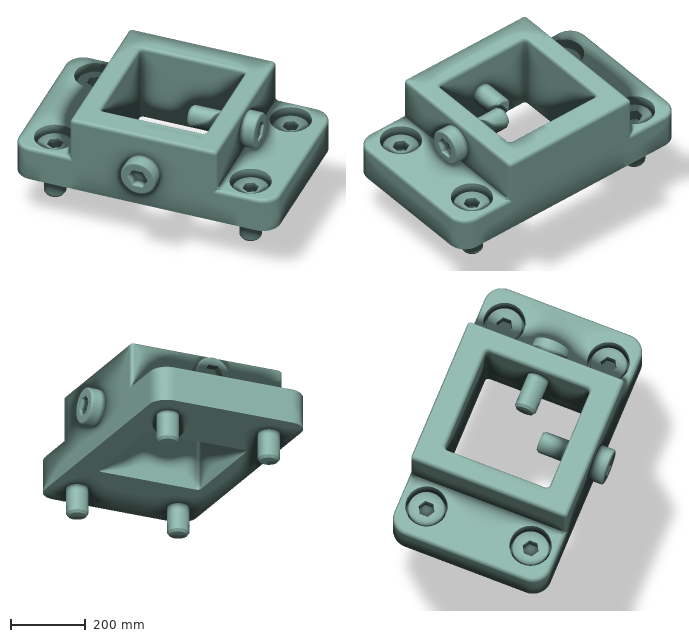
import cadquery as cq
import math

base_length = 750.0
base_width = 450.0
base_height = 100.0
base_corner_radius = 50.0
block_length = 420.0
housing_height = 225.0
window_side = 300.0
edge_radius = 10.0
corner_blend_reach = 15.0

shank_diameter = 60.0
head_diameter = 100.0
head_height = 40.0
head_edge_radius = 5.0
tip_chamfer_radial = 5.0
tip_chamfer_axial = 7.5

mount_socket_flats = 40.0
mount_socket_depth = 30.0
mount_spacing_x = 560.0
mount_spacing_y = 300.0
mount_projection = 80.0
counterbore_diameter = 113.0
head_sink = 20.0

clamp_socket_flats = 50.0
clamp_socket_depth = 25.0
clamp_length = 160.0
front_clamp_z = 112.5
side_clamp_z = 157.0

counterbore_depth = head_sink + head_height
seat_z = base_height - counterbore_depth
mount_length = seat_z + mount_projection


def cap_screw(shank_length, socket_flats, socket_depth, seat):
    """Socket head cap screw on a seat plane whose normal points out through the head."""
    shank_radius = shank_diameter / 2
    shank_outline = [
        (0, 0),
        (shank_radius, 0),
        (shank_radius, tip_chamfer_axial - shank_length),
        (shank_radius - tip_chamfer_radial, -shank_length),
        (0, -shank_length),
    ]
    shank = cq.Workplane("XZ").polyline(shank_outline).close().revolve(360, (0, 0), (0, 1))
    head = (
        cq.Workplane("XY")
        .circle(head_diameter / 2)
        .extrude(head_height)
        .faces(">Z")
        .edges()
        .fillet(head_edge_radius)
    )
    socket = (
        cq.Workplane("XY", origin=(0, 0, head_height))
        .polygon(6, socket_flats / math.cos(math.pi / 6))
        .extrude(-socket_depth)
    )
    return head.union(shank).cut(socket).solids().val().located(cq.Location(seat))


mount_seats = [
    cq.Plane(origin=(x, y, seat_z), xDir=(0, 1, 0), normal=(0, 0, 1))
    for x in (-mount_spacing_x / 2, mount_spacing_x / 2)
    for y in (-mount_spacing_y / 2, mount_spacing_y / 2)
]
front_clamp_seat = cq.Plane(
    origin=(0, -base_width / 2, front_clamp_z), xDir=(1, 0, 0), normal=(0, -1, 0)
)
side_clamp_seat = cq.Plane(
    origin=(block_length / 2, 0, side_clamp_z), xDir=(0, 1, 0), normal=(1, 0, 0)
)

mount_screws = [
    cap_screw(mount_length, mount_socket_flats, mount_socket_depth, seat) for seat in mount_seats
]
front_clamp_screw = cap_screw(clamp_length, clamp_socket_flats, clamp_socket_depth, front_clamp_seat)
side_clamp_screw = cap_screw(clamp_length, clamp_socket_flats, clamp_socket_depth, side_clamp_seat)


def stepped_body():
    """Base plate and full-width block, with every outer edge above the plate sides rounded."""
    base = (
        cq.Workplane("XY")
        .rect(base_length, base_width)
        .extrude(base_height)
        .edges("|Z")
        .fillet(base_corner_radius)
    )
    block = cq.Workplane("XY").rect(block_length, base_width).extrude(housing_height)
    body = base.union(block).clean()

    def is_outer_upper_edge(edge):
        center = edge.Center()
        above_plate = center.z > base_height + edge_radius
        at_plate_top = abs(center.z - base_height) < edge_radius
        beyond_block = abs(center.x) > block_length / 2 + edge_radius
        return above_plate or (at_plate_top and beyond_block)

    rounded_edges = [edge for edge in body.edges().vals() if is_outer_upper_edge(edge)]
    return body.newObject(rounded_edges).fillet(edge_radius)


def corner_blend(side_x, side_y):
    """Small web where the rounded edges meet, at one end of a step between block and base."""

    def corner(from_block, from_face, from_ledge):
        return cq.Vector(
            side_x * (block_length / 2 + from_block),
            side_y * (base_width / 2 - from_face),
            base_height + from_ledge,
        )

    outer_tip = corner(-edge_radius, 0, -edge_radius)
    inner_tip = corner(0, corner_blend_reach, 0)
    block_tip = corner(0, edge_radius, edge_radius)
    ledge_tip = corner(edge_radius, edge_radius, 0)
    triangles = [
        (outer_tip, inner_tip, block_tip),
        (outer_tip, inner_tip, ledge_tip),
        (outer_tip, block_tip, ledge_tip),
        (inner_tip, block_tip, ledge_tip),
    ]
    faces = [cq.Face.makeFromWires(cq.Wire.makePolygon(tips, close=True)) for tips in triangles]
    return cq.Solid.makeSolid(cq.Shell.makeShell(faces)).fix()


def window_cutter():
    """Square through window with rounded corners."""
    return (
        cq.Workplane("XY")
        .rect(window_side, window_side)
        .extrude(housing_height)
        .edges("|Z")
        .fillet(edge_radius)
    )


def bore(seat, diameter, height):
    """Cylinder on a seat plane: a positive height goes outward, a negative one into the wall."""
    return cq.Workplane(seat).circle(diameter / 2).extrude(height)


housing = stepped_body()

for side_x in (-1, 1):
    for side_y in (-1, 1):
        housing = housing.union(cq.Workplane(corner_blend(side_x, side_y)))

housing = housing.cut(window_cutter())

half_window_box = window_side / 2 + edge_radius / 2
window_rim = cq.selectors.BoxSelector(
    (-half_window_box, -half_window_box, housing_height - edge_radius / 2),
    (half_window_box, half_window_box, housing_height + edge_radius / 2),
)
housing = housing.edges(window_rim).fillet(edge_radius)

for seat in mount_seats:
    housing = housing.cut(bore(seat, shank_diameter, -seat_z))
    housing = housing.cut(bore(seat, counterbore_diameter, counterbore_depth))

front_wall = (base_width - window_side) / 2
side_wall = (block_length - window_side) / 2
housing = housing.cut(bore(front_clamp_seat, shank_diameter, -front_wall))
housing = housing.cut(bore(side_clamp_seat, shank_diameter, -side_wall))

result = cq.Compound.makeCompound(
    [housing.solids().val(), *mount_screws, front_clamp_screw, side_clamp_screw]
)